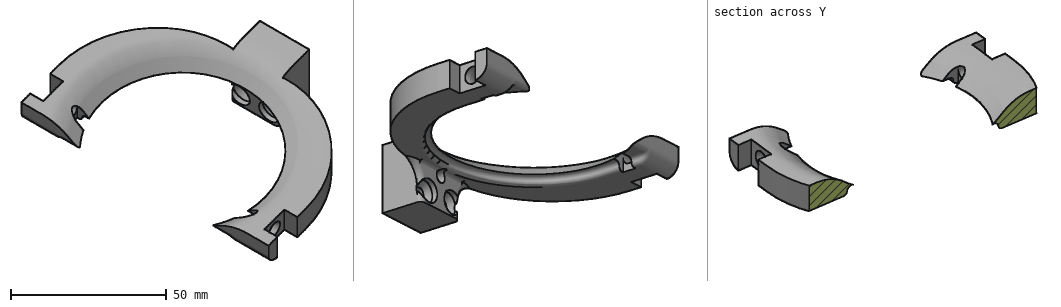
import cadquery as cq
import math


half_width = 50.0
front_y = -20.0
back_y = 40.0
ring_height = 10.0
back_corner_radius = 40.0
front_edge_radius = 5.0

bore_radius = 33.0
bore_edge_depth = 7.0
funnel_radius = 46.3
funnel_round_radius = 14.0
cone_top_radius = 37.0

recess_radius = 35.0
recess_round = 1.49

block_width = 20.0
block_front_y = 38.0
block_back_y = 54.0
block_height = 24.0
flare_radius = 8.0
block_edge_round = 2.0
neck_round = 1.0
neck_width = 22.0

screw_diameter = 4.3
screw_head_diameter = 8.3
screw_head_recess = 2.0
screw_spacing = 12.0
screw_depth = 19.0
middle_hole_depth = 12.0

slot_centre_y = -10.0
slot_width = 10.5
slot_floor_x = 44.75
cross_diameter = 5.0
cross_mouth_diameter = 6.0
cross_taper_length = 2.0
cross_hole_depth = 5.0
channel_end_x = 37.0

overrun = 1.0


def box_between(low, high):
    """Axis-aligned box from its lowest corner to its highest corner."""
    sizes = [b - a for a, b in zip(low, high)]
    return cq.Workplane("XY").box(*sizes, centered=False).translate(low)


def ring_outline(low_z, high_z):
    """Upright prism over the ring's outer outline, with its two large back corners."""
    plate = box_between((-half_width, front_y, low_z), (half_width, back_y, high_z))
    return plate.edges("|Z and >Y").fillet(back_corner_radius)


def ring_blank():
    """Solid plate of the ring with a rounded lower front edge."""
    return ring_outline(-ring_height, 0).edges("<Y and <Z").fillet(front_edge_radius)


def cut_recess(body):
    """Cut a recess from below, round at the back and straight-sided to the front."""
    low_z = -ring_height - overrun
    recess = (
        cq.Workplane("XY", origin=(0, 0, low_z))
        .moveTo(recess_radius, 0)
        .threePointArc((0, recess_radius), (-recess_radius, 0))
        .lineTo(-recess_radius, front_y - 2 * recess_round)
        .lineTo(recess_radius, front_y - 2 * recess_round)
        .close()
        .extrude(-bore_edge_depth - low_z)
        .edges(">Z and (not <Y)")
        .fillet(recess_round)
    )
    body = body.cut(recess)
    half_span = recess_radius + overrun
    ceiling_front = cq.selectors.BoxSelector(
        (-half_span, front_y - overrun, -bore_edge_depth - overrun / 2),
        (half_span, front_y + overrun, -bore_edge_depth + overrun / 2),
    )
    return body.edges(ceiling_front).fillet(recess_round)


def flared_panel():
    """Block outline with flared top corners, full depth, its front outline rounded."""
    half = block_width / 2
    flare_end_x = half + flare_radius
    flare_start_z = -ring_height - flare_radius
    stub_x = flare_end_x + 2 * block_edge_round
    stub_z = -ring_height + 2 * block_edge_round
    bow = flare_radius * (1 - math.sqrt(0.5))
    panel = (
        cq.Workplane("XZ", origin=(0, block_back_y, 0))
        .moveTo(0, -block_height)
        .lineTo(half, -block_height)
        .lineTo(half, flare_start_z)
        .threePointArc((half + bow, -ring_height - bow), (flare_end_x, -ring_height))
        .lineTo(stub_x, -ring_height)
        .lineTo(stub_x, stub_z)
        .lineTo(0, stub_z)
        .mirrorY()
        .extrude(block_back_y - block_front_y)
    )
    rounded_region = cq.selectors.BoxSelector(
        (-stub_x, block_front_y - overrun, -block_height + overrun),
        (stub_x, block_front_y + overrun, -ring_height + overrun),
    )
    return panel.edges(rounded_region).fillet(block_edge_round)


def mounting_block():
    """Block behind the ring; only its part under the ring keeps the flares."""
    half = block_width / 2
    rear = box_between((-half, back_y, -block_height), (half, block_back_y, 0))
    under_ring = ring_outline(-block_height, -ring_height)
    return flared_panel().intersect(under_ring).union(rear)


def funnel():
    """Bore, cone and rounded mouth as one turned cutter."""
    cone_top_depth = funnel_round_radius - math.sqrt(
        funnel_round_radius**2 - (funnel_radius - cone_top_radius) ** 2
    )
    mid_radius = (funnel_radius + cone_top_radius) / 2
    mid_depth = funnel_round_radius - math.sqrt(
        funnel_round_radius**2 - (funnel_radius - mid_radius) ** 2
    )
    return (
        cq.Workplane("XZ")
        .moveTo(0, overrun)
        .lineTo(funnel_radius, overrun)
        .lineTo(funnel_radius, 0)
        .threePointArc((mid_radius, -mid_depth), (cone_top_radius, -cone_top_depth))
        .lineTo(bore_radius, -bore_edge_depth)
        .lineTo(bore_radius, -ring_height)
        .lineTo(0, -ring_height)
        .close()
        .revolve(360, (0, 0), (0, 1))
    )


def neck_fillet():
    """Concave strip between the block's front face and the level of the ring underside."""
    tip_y = block_front_y - neck_round
    low_z = -ring_height - neck_round
    strip = box_between(
        (-neck_width / 2, tip_y, low_z), (neck_width / 2, block_front_y, -ring_height)
    )
    hollow = cq.Solid.makeCylinder(
        neck_round, neck_width, cq.Vector(-neck_width / 2, tip_y, low_z), cq.Vector(1, 0, 0)
    )
    return strip.cut(cq.Workplane(hollow))


def through_block(x, depth):
    """Plain screw hole along Y."""
    start_y = block_front_y - neck_round - overrun
    start = cq.Vector(x, start_y, -depth)
    length = block_back_y + overrun - start_y
    hole = cq.Solid.makeCylinder(screw_diameter / 2, length, start, cq.Vector(0, 1, 0))
    return cq.Workplane(hole)


def screw_head_seat(x):
    """Straight recess for the screw head, ending in a right-angled cone."""
    head_radius = screw_head_diameter / 2
    hole_radius = screw_diameter / 2
    backward = cq.Vector(0, 1, 0)
    start = cq.Vector(x, block_front_y, -screw_depth)
    cone_start = start + backward * screw_head_recess
    recess = cq.Solid.makeCylinder(head_radius, screw_head_recess, start, backward)
    cone = cq.Solid.makeCone(
        head_radius, hole_radius, head_radius - hole_radius, cone_start, backward
    )
    return cq.Workplane(recess).union(cq.Workplane(cone))


def cut_ring_end(body, side):
    """Slot in one outer side, with a cross hole that tapers in from its floor."""
    half = slot_width / 2
    near_x, far_x = sorted((side * slot_floor_x, side * (half_width + overrun)))
    slot = box_between(
        (near_x, slot_centre_y - half, -ring_height - overrun),
        (far_x, slot_centre_y + half, overrun),
    )
    floor_point = cq.Vector(side * slot_floor_x, slot_centre_y, -cross_hole_depth)
    inward = cq.Vector(-side, 0, 0)
    hole = cq.Solid.makeCylinder(cross_diameter / 2, slot_floor_x / 2, floor_point, inward)
    taper = cq.Solid.makeCone(
        cross_mouth_diameter / 2, cross_diameter / 2, cross_taper_length, floor_point, inward
    )
    inner_x, outer_x = sorted((side * channel_end_x, side * (bore_radius - slot_width)))
    channel = box_between(
        (inner_x, slot_centre_y - cross_diameter / 2, -ring_height - overrun),
        (outer_x, slot_centre_y + cross_diameter / 2, -cross_hole_depth),
    )
    for cutter in (slot, channel, cq.Workplane(hole), cq.Workplane(taper)):
        body = body.cut(cutter)
    return body


result = cut_recess(ring_blank()).union(mounting_block()).union(neck_fillet()).cut(funnel())
for side in (-1, 1):
    screw_x = side * screw_spacing / 2
    result = result.cut(through_block(screw_x, screw_depth)).cut(screw_head_seat(screw_x))
    result = cut_ring_end(result, side)
result = result.cut(through_block(0, middle_hole_depth))